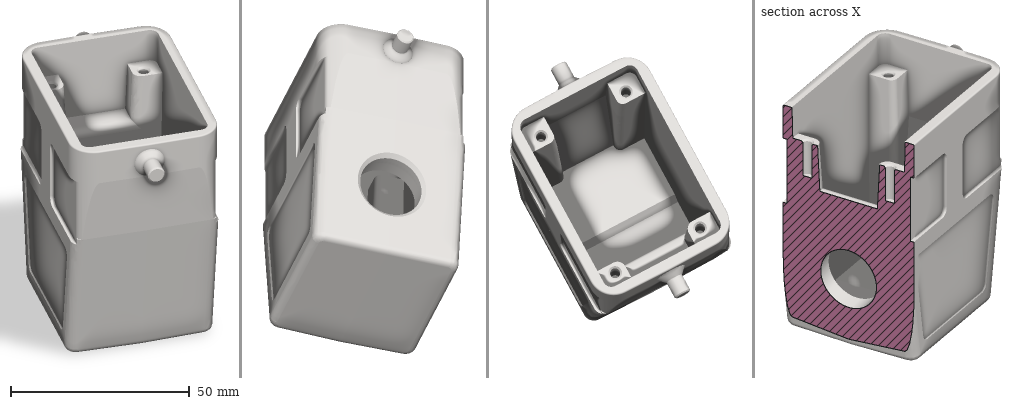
import cadquery as cq
import math

HEIGHT = 72.0
WIDTH = 43.0
HALF_WIDTH = WIDTH / 2
PIN_TIP = 37.0
CROWN = 0.3

TAPER_TOP = HEIGHT - 10.5
WAIST = HEIGHT - 29.7
HALF_LENGTH_TOP = 30.0
HALF_LENGTH_WAIST = 28.2
HALF_LENGTH_BOTTOM = 21.6

UPPER_CORNER_RADIUS = 7.2
LOWER_CORNER_RADIUS = 3.1
BOTTOM_FILLET = 2.0
BOTTOM_CROWN = 0.3
RIM_FILLET = 0.5

RECESS_DEPTH = 1.2
RECESS_TOP = HEIGHT - 10.95
RECESS_BOTTOM = HEIGHT - 31.6
RECESS_RADIUS = 2.4
RIB_HALF = 4.3
RECESS_EDGE_FILLET = 2.2

PANEL_DEPTH = 0.5
PANEL_TOP = HEIGHT - 36.9
PANEL_BOTTOM = HEIGHT - 66.6
PANEL_HALF_TOP = 21.45
PANEL_HALF_BOTTOM = 16.7
PANEL_RADIUS = 2.2

RIM_HALF_LENGTH = 26.85
RIM_HALF_WIDTH = 18.4
RIM_INNER_RADIUS = 2.45
FLOOR = HEIGHT - 68.1
FLOOR_HALF_LENGTH = 17.0
FLOOR_HALF_WIDTH = 16.65
WALL_DRAFT = math.atan((RIM_HALF_WIDTH - FLOOR_HALF_WIDTH) / (HEIGHT - FLOOR))
FLOOR_RISE = 2.2
FLOOR_RISE_START = -2.95
FLOOR_RISE_END = -0.95

POST_TOP = HEIGHT - 9.85
POST_X = 19.2
POST_Y = 10.1
SCREW_X = 22.0
SCREW_Y = 13.5
SCREW_RADIUS = 1.4
SCREW_CHAMFER = 0.5
SCREW_DEPTH = 11.1

LEDGE = HEIGHT - 24.4
LEDGE_HALF_WIDTH = 9.3
LEDGE_EDGE_RADIUS = 2.5
DEEP_BAY_EDGE_RADIUS = 1.9
BAY_FLOOR_LENGTH = 19.1
BAY_FLOOR_HALF_WIDTH = 8.1

ENTRY_Z = HEIGHT - 50.55
ENTRY_RADIUS = 9.0
ENTRY_MOUTH_RADIUS = 10.2
ENTRY_CHAMFER_DEPTH = 1.2
ENTRY_LENGTH = 11.1

PIN_Z = HEIGHT - 6.1
PIN_RADIUS = 2.45
PIN_CHAMFER = 0.4
PIN_CONE_TIP = 31.9
PIN_ROOT = 28.1


def crowned_outline(half_length):
    """Rectangle whose two ends come to a slight ridge at Y = 0."""
    flat = half_length - CROWN
    return [
        (-flat, -HALF_WIDTH), (flat, -HALF_WIDTH), (half_length, 0),
        (flat, HALF_WIDTH), (-flat, HALF_WIDTH), (-half_length, 0),
    ]


def crowned_taper(low_z, low_half, high_z, high_half):
    return (
        cq.Workplane("XY").workplane(offset=low_z).polyline(crowned_outline(low_half)).close()
        .workplane(offset=high_z - low_z).polyline(crowned_outline(high_half)).close()
        .loft(ruled=True)
    )


def rectangular_taper(low_z, low_size, high_z, high_size, low_x=0, high_x=0):
    return (
        cq.Workplane("XY").workplane(offset=low_z).center(low_x, 0).rect(*low_size)
        .workplane(offset=high_z - low_z).center(high_x - low_x, 0).rect(*high_size)
        .loft(ruled=True)
    )


def upper_body():
    block = (
        cq.Workplane("XY").workplane(offset=WAIST)
        .polyline(crowned_outline(HALF_LENGTH_TOP)).close().extrude(HEIGHT - WAIST)
    )
    block = block.faces("<Y or >Y").edges("|Z").fillet(UPPER_CORNER_RADIUS)
    block = block.faces(">Z").edges().fillet(RIM_FILLET)
    taper = crowned_taper(WAIST, HALF_LENGTH_WAIST, TAPER_TOP, HALF_LENGTH_TOP)
    top = crowned_taper(TAPER_TOP, HALF_LENGTH_TOP, HEIGHT, HALF_LENGTH_TOP)
    return block.intersect(taper.union(top))


def lower_body():
    block = crowned_taper(0, HALF_LENGTH_BOTTOM, WAIST, HALF_LENGTH_WAIST)
    roof = (
        cq.Workplane("YZ")
        .polyline([
            (0, 0), (HALF_WIDTH, BOTTOM_CROWN), (HALF_WIDTH, WAIST),
            (-HALF_WIDTH, WAIST), (-HALF_WIDTH, BOTTOM_CROWN),
        ]).close().extrude(HALF_LENGTH_TOP, both=True)
    )
    block = block.intersect(roof)
    block = block.faces("<Y or >Y").edges("not |X").fillet(LOWER_CORNER_RADIUS)
    bottom = cq.selectors.BoxSelector(
        (-HALF_LENGTH_TOP, -2 * HALF_WIDTH, -BOTTOM_CROWN),
        (HALF_LENGTH_TOP, 2 * HALF_WIDTH, 2 * BOTTOM_CROWN),
    )
    ridge = cq.selectors.BoxSelector(
        (-BOTTOM_CROWN, -BOTTOM_CROWN, -BOTTOM_CROWN), (BOTTOM_CROWN, BOTTOM_CROWN, BOTTOM_CROWN)
    )
    return block.edges(bottom - ridge).fillet(BOTTOM_FILLET)


def grip_recess(side_x, side_y):
    length = HALF_LENGTH_TOP - RIB_HALF + RECESS_RADIUS
    middle_z = (RECESS_TOP + RECESS_BOTTOM) / 2
    return (
        cq.Workplane("XY")
        .box(length, 2 * RECESS_DEPTH, RECESS_TOP - RECESS_BOTTOM)
        .edges("|Y").edges("<X").fillet(RECESS_RADIUS)
        .rotate((0, 0, 0), (0, 0, 1), 0 if side_x > 0 else 180)
        .translate((side_x * (RIB_HALF + length / 2), side_y * HALF_WIDTH, middle_z))
    )


def label_panel(side_y):
    outline = [
        (-PANEL_HALF_BOTTOM, PANEL_BOTTOM), (PANEL_HALF_BOTTOM, PANEL_BOTTOM),
        (PANEL_HALF_TOP, PANEL_TOP), (-PANEL_HALF_TOP, PANEL_TOP),
    ]
    return (
        cq.Workplane("XZ").polyline(outline).close().extrude(PANEL_DEPTH, both=True)
        .edges("|Y").fillet(PANEL_RADIUS)
        .translate((0, side_y * HALF_WIDTH, 0))
    )


def drafted(rim_half_size, z):
    """Half size of the cavity at height z, narrowing downwards from the rim."""
    return rim_half_size - (HEIGHT - z) * math.tan(WALL_DRAFT)


def round_bay_mouths(void):
    """Round the edges where the bays open into the well: post corners and the -X ledge."""
    margin = 0.4
    inner = FLOOR_HALF_LENGTH - margin
    outer = POST_X + margin
    side = POST_Y + margin
    near_side = BAY_FLOOR_HALF_WIDTH - margin
    below_top = POST_TOP - margin
    box = cq.selectors.BoxSelector
    ledge_edges = box((-outer, -side, LEDGE - margin), (-inner, side, below_top))
    void = void.edges(ledge_edges).fillet(LEDGE_EDGE_RADIUS)
    deep_bay_edges = (
        box((inner, near_side, FLOOR + margin), (outer, side, below_top))
        + box((inner, -side, FLOOR + margin), (outer, -near_side, below_top))
    )
    return void.edges(deep_bay_edges).fillet(DEEP_BAY_EDGE_RADIUS)


def cavity():
    rim = (
        cq.Workplane("XY").workplane(offset=HEIGHT)
        .sketch().rect(2 * RIM_HALF_LENGTH, 2 * RIM_HALF_WIDTH)
        .vertices().fillet(RIM_INNER_RADIUS).finalize()
        .extrude(POST_TOP - HEIGHT, taper=math.degrees(WALL_DRAFT))
    )
    well = rectangular_taper(
        FLOOR, (2 * FLOOR_HALF_LENGTH, 2 * FLOOR_HALF_WIDTH),
        POST_TOP, (2 * POST_X, 2 * drafted(RIM_HALF_WIDTH, POST_TOP)),
    )
    ledge_half_length = drafted(RIM_HALF_LENGTH, LEDGE)
    bays = rectangular_taper(
        LEDGE, (2 * ledge_half_length, 2 * LEDGE_HALF_WIDTH),
        POST_TOP, (2 * drafted(RIM_HALF_LENGTH, POST_TOP), 2 * POST_Y),
    )
    deep_bay = rectangular_taper(
        FLOOR, (BAY_FLOOR_LENGTH, 2 * BAY_FLOOR_HALF_WIDTH),
        LEDGE, (ledge_half_length, 2 * LEDGE_HALF_WIDTH),
        BAY_FLOOR_LENGTH / 2, ledge_half_length / 2,
    )
    rise = (
        cq.Workplane("XZ")
        .polyline([
            (FLOOR_RISE_START, FLOOR), (FLOOR_RISE_END, FLOOR + FLOOR_RISE),
            (HALF_LENGTH_TOP, FLOOR + FLOOR_RISE), (HALF_LENGTH_TOP, FLOOR),
        ]).close().extrude(HALF_WIDTH, both=True)
    )
    lower = well.union(bays).union(deep_bay)
    return round_bay_mouths(lower).cut(rise).union(rim)


def screw_hole(x, y):
    hole = (
        cq.Workplane("XY").workplane(offset=POST_TOP)
        .center(x, y).circle(SCREW_RADIUS).extrude(-SCREW_DEPTH)
    )
    mouth = cq.Workplane("XY").add(cq.Solid.makeCone(
        SCREW_RADIUS + SCREW_CHAMFER, SCREW_RADIUS, SCREW_CHAMFER,
        cq.Vector(x, y, POST_TOP), cq.Vector(0, 0, -1),
    ))
    return hole.union(mouth)


def cable_entry():
    slope = (HALF_LENGTH_WAIST - HALF_LENGTH_BOTTOM) / WAIST
    face_x = -(HALF_LENGTH_BOTTOM + slope * ENTRY_Z)
    mouth_centre = cq.Vector(face_x, 0, ENTRY_Z)
    inward = cq.Vector(1, 0, slope).normalized()
    bore = cq.Solid.makeCylinder(ENTRY_RADIUS, ENTRY_LENGTH, mouth_centre, inward)
    mouth_slope = (ENTRY_MOUTH_RADIUS - ENTRY_RADIUS) / ENTRY_CHAMFER_DEPTH
    mouth = cq.Solid.makeCone(
        ENTRY_MOUTH_RADIUS + CROWN * mouth_slope, ENTRY_RADIUS, ENTRY_CHAMFER_DEPTH + CROWN,
        mouth_centre - inward * CROWN, inward,
    )
    return cq.Workplane("XY").add(bore).union(cq.Workplane("XY").add(mouth))


def locking_pin(side_x):
    cone_root_radius = PIN_RADIUS + PIN_CONE_TIP - HALF_LENGTH_TOP
    profile = [
        (PIN_ROOT, 0), (PIN_ROOT, cone_root_radius), (HALF_LENGTH_TOP, cone_root_radius),
        (PIN_CONE_TIP, PIN_RADIUS), (PIN_TIP - PIN_CHAMFER, PIN_RADIUS),
        (PIN_TIP, PIN_RADIUS - PIN_CHAMFER), (PIN_TIP, 0),
    ]
    pin = cq.Workplane("XY").polyline(profile).close().revolve(360, (0, 0, 0), (1, 0, 0))
    if side_x < 0:
        pin = pin.mirror("YZ")
    return pin.translate((0, 0, PIN_Z))


def cut_grip_recess(body, side_x, side_y):
    """Cut one recess and round the edge where its floor runs out at the body corner."""
    body = body.cut(grip_recess(side_x, side_y))
    corner_x = HALF_LENGTH_TOP - UPPER_CORNER_RADIUS
    floor_y = HALF_WIDTH - RECESS_DEPTH
    middle_z = (WAIST + RECESS_TOP) / 2
    reach = UPPER_CORNER_RADIUS - RECESS_DEPTH
    run_out = math.sqrt(UPPER_CORNER_RADIUS ** 2 - reach ** 2)
    edge_point = (side_x * (corner_x + run_out), side_y * floor_y, middle_z)
    run_out_edge = cq.selectors.NearestToPointSelector(edge_point)
    return body.edges(run_out_edge).fillet(RECESS_EDGE_FILLET)


shell = upper_body().union(lower_body())
for side_y in (-1, 1):
    shell = shell.cut(label_panel(side_y))
    for side_x in (-1, 1):
        shell = cut_grip_recess(shell, side_x, side_y)

shell = shell.cut(cavity()).cut(cable_entry())
for side_x in (-1, 1):
    shell = shell.union(locking_pin(side_x))
    for side_y in (-1, 1):
        shell = shell.cut(screw_hole(side_x * SCREW_X, side_y * SCREW_Y))

result = shell